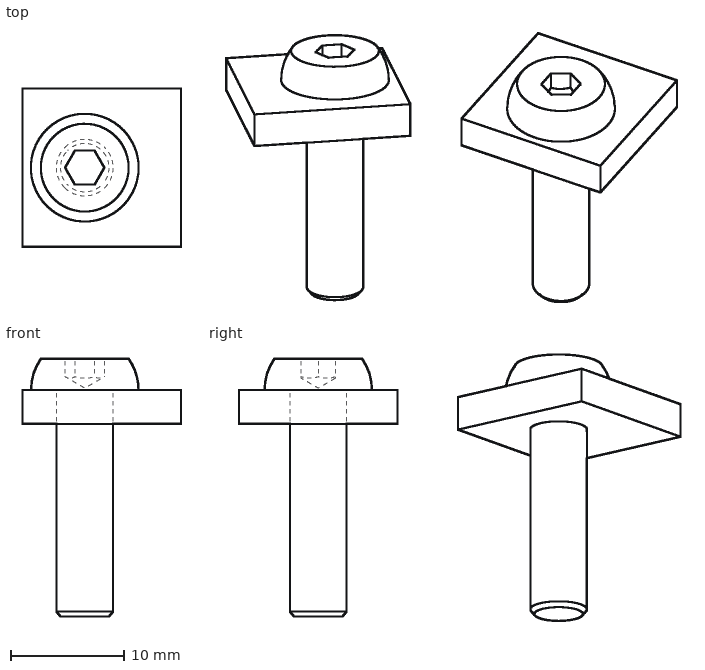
import cadquery as cq
import math

plate_side = 14.0
plate_thickness = 3.0

screw_x = -1.5
shank_diameter = 5.0
shank_radius = shank_diameter / 2
total_length = 22.75
head_height = 2.75
shank_length = total_length - head_height
tip_chamfer_height = 0.43
tip_chamfer_width = 0.36

head_radius = 4.75
head_top_radius = math.sqrt(head_radius**2 - head_height**2)
head_mid_height = head_height / 2
head_mid_radius = math.sqrt(head_radius**2 - head_mid_height**2)

socket_across_flats = 3.0
socket_corner_radius = socket_across_flats / math.sqrt(3)
socket_corner_depth = 1.6
socket_cone_angle = 120.0
socket_cone_height = socket_corner_radius / math.tan(math.radians(socket_cone_angle / 2))


def make_plate():
    """Square plate with a through hole that fits the screw shank."""
    blank = cq.Workplane("XY").box(
        plate_side, plate_side, plate_thickness, centered=(True, True, False)
    ).translate((0, 0, -plate_thickness))
    hole = cq.Workplane("XY").center(screw_x, 0).circle(shank_radius).extrude(-plate_thickness)
    return blank.cut(hole)


def make_socket():
    """Hexagonal prism whose lower end is pointed by a cone, to cut from the head."""
    socket_depth = socket_corner_depth + socket_cone_height
    hexagon = (
        cq.Workplane("XY").workplane(offset=head_height)
        .polygon(6, 2 * socket_corner_radius).extrude(-socket_depth)
    )
    pointed_bore = (
        cq.Workplane("XZ")
        .moveTo(0, head_height - socket_depth)
        .lineTo(socket_corner_radius, head_height - socket_corner_depth)
        .lineTo(socket_corner_radius, head_height)
        .lineTo(0, head_height)
        .close()
        .revolve(360, (0, 0), (0, 1))
    )
    return hexagon.intersect(pointed_bore)


def make_screw():
    """Round-headed screw with a chamfered tip and a hexagonal socket."""
    blank = (
        cq.Workplane("XZ")
        .moveTo(0, -shank_length)
        .lineTo(shank_radius - tip_chamfer_width, -shank_length)
        .lineTo(shank_radius, -shank_length + tip_chamfer_height)
        .lineTo(shank_radius, 0)
        .lineTo(head_radius, 0)
        .threePointArc((head_mid_radius, head_mid_height), (head_top_radius, head_height))
        .lineTo(0, head_height)
        .close()
        .revolve(360, (0, 0), (0, 1))
    )
    return blank.cut(make_socket()).translate((screw_x, 0, 0))


plate = make_plate()
screw = make_screw()
result = cq.Compound.makeCompound([plate.val(), screw.val()])